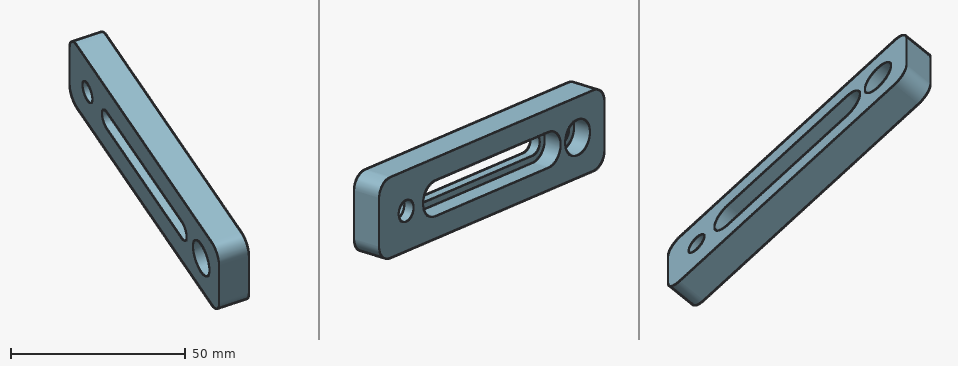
import cadquery as cq

length = 100.0
thickness = 9.5
height = 25.0
corner_radius = 5.0

clearance_diameter = 6.6
recess_diameter = 11.0
recess_depth = 6.0

hole_end_distance = 12.0
hole_x = length / 2 - hole_end_distance
slot_travel = 50.0

front_side = -1
back_side = 1


def make_plate():
    """Upright plate centred on the origin, with rounded corners."""
    return cq.Workplane("XY").box(length, thickness, height).edges("|Y").fillet(corner_radius)


def face_plane(side, x=0.0):
    """Workplane lying on the chosen face, on the centreline at x, with its normal along -Y."""
    return cq.Workplane("XZ", origin=(x, side * thickness / 2, 0))


def counterbored_hole(side, x):
    """Clearance hole through the plate, with a round recess sunk from the chosen face."""
    hole = face_plane(side, x).circle(clearance_diameter / 2).extrude(side * thickness)
    recess = face_plane(side, x).circle(recess_diameter / 2).extrude(side * recess_depth)
    return hole.union(recess)


def counterbored_slot(side):
    """Central clearance slot through the plate, with a wider recess sunk from the chosen face."""
    slot_length = slot_travel + clearance_diameter
    recess_length = slot_travel + recess_diameter
    slot = face_plane(side).slot2D(slot_length, clearance_diameter).extrude(side * thickness)
    recess = face_plane(side).slot2D(recess_length, recess_diameter).extrude(side * recess_depth)
    return slot.union(recess)


result = (
    make_plate()
    .cut(counterbored_hole(front_side, hole_x))
    .cut(counterbored_hole(back_side, -hole_x))
    .cut(counterbored_slot(back_side))
)